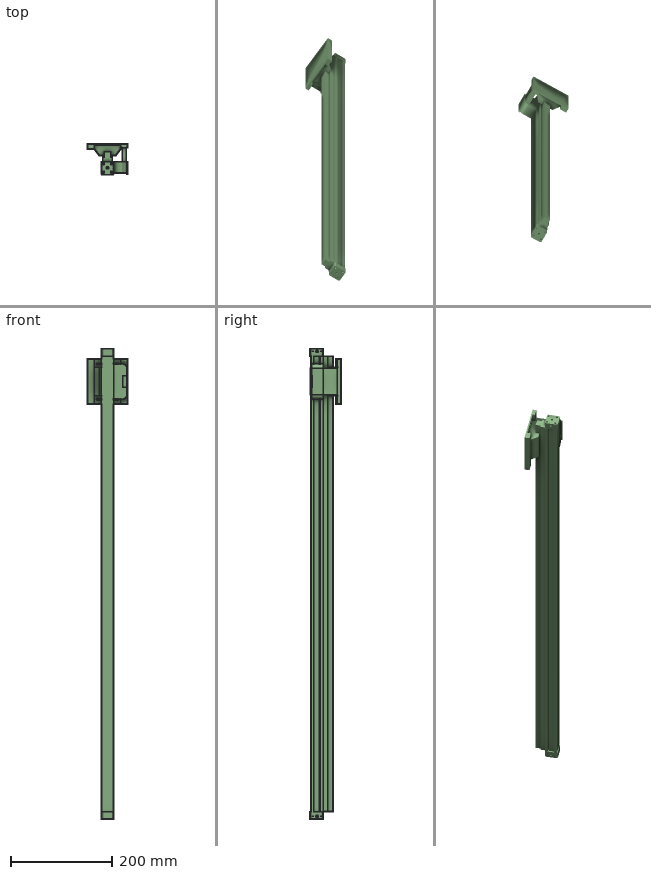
import cadquery as cq

total_length = 930.0
total_depth = 61.0
bar_width = 24.0
cap_height = 15.0
cap_lip = 2.0
cap_corner_radius = 3.0
shoulder_width = 19.5
shoulder_depth = 9.0
stem_width = 13.0
stem_back = 32.0
groove_width = 13.0
groove_depth = 3.0
slit_width = 2.4
slit_depth = 6.0
center_hole_diameter = 4.1
side_hole_diameter = 4.1
corner_hole_diameter = 4.1
corner_hole_offset = 8.0
end_hole_depth = 6.0
side_hole_depth = 3.0
side_hole_shift = 2.0

plate_width = 80.0
plate_height = 89.0
plate_center_z = 865.0
web_thickness = 3.0
strip_width = 14.0
left_strip_thickness = 10.0
right_strip_thickness = 7.0
block_height = 56.0
block_front = 24.0
block_front_width = 33.0
slot_length = 44.0
slot_height = 2.4
cover_right = 38.0
cover_height = 70.0
cover_depth = 22.0
cover_corner_radius = 8.0
lip_width = 2.0
lip_depth = 3.0
arm_width = 8.0
arm_right = 37.0
recess_width = 8.0
recess_height = 22.0
recess_depth = 1.0

bar_half = bar_width / 2
plate_back = total_depth - bar_half - cap_lip
web_width = plate_width - 2 * strip_width
strip_front = plate_back - left_strip_thickness
web_front = plate_back - web_thickness


def box(x_range, y_range, z_range):
    """Box spanning the given (low, high) ranges."""
    size = [high - low for low, high in (x_range, y_range, z_range)]
    return cq.Workplane("XY").box(*size, centered=False).translate((x_range[0], y_range[0], z_range[0]))


def around(center, size):
    """Range of the given size centred on a value."""
    return (center - size / 2, center + size / 2)


def make_bar():
    bar_z = (cap_height, total_length - cap_height)
    bar = box(around(0, bar_width), around(0, bar_width), bar_z)
    shoulder_back = bar_half + shoulder_depth
    bar = bar.union(box(around(0, shoulder_width), (0, shoulder_back), bar_z))
    bar = bar.union(box(around(0, stem_width), (0, stem_back), bar_z))
    groove_y = around(0, groove_width)
    slit_y = (groove_y[1] - slit_width, groove_y[1])
    for side in (-1, 1):
        groove_x = around(side * bar_half, 2 * groove_depth)
        slit_x = around(side * bar_half, 2 * slit_depth)
        bar = bar.cut(box(groove_x, groove_y, bar_z)).cut(box(slit_x, slit_y, bar_z))
    return bar


def make_cap(base_z, outward):
    """End cap from base_z upward; outward is +1 or -1, the Z direction of its outer face."""
    cap = box(around(0, bar_width), (-bar_half - cap_lip, bar_half), (base_z, base_z + cap_height))
    cap = cap.edges("|Z").fillet(cap_corner_radius)
    middle_z = base_z + cap_height / 2
    hole_z = around(middle_z + outward * cap_height / 2, 2 * end_hole_depth)
    end_plane = cq.Workplane("XY").workplane(offset=hole_z[0])
    cap = cap.cut(end_plane.circle(center_hole_diameter / 2).extrude(2 * end_hole_depth))
    corner_holes = end_plane.rect(2 * corner_hole_offset, 2 * corner_hole_offset, forConstruction=True)
    corner_holes = corner_holes.vertices().circle(corner_hole_diameter / 2).extrude(2 * end_hole_depth)
    cap = cap.cut(corner_holes)
    recess = cq.Workplane("YZ", origin=(bar_half, 0, middle_z + outward * side_hole_shift))
    recess = recess.circle(side_hole_diameter / 2).extrude(-side_hole_depth)
    for angle in (0, 90, 180):
        cap = cap.cut(recess.rotate((0, 0, 0), (0, 0, 1), angle))
    return cap


def make_rail():
    rail = make_bar()
    rail = rail.union(make_cap(0, -1))
    return rail.union(make_cap(total_length - cap_height, 1))


def make_plate():
    plate_z = around(plate_center_z, plate_height)
    plate_half = plate_width / 2
    plate = box(around(0, plate_width), (web_front, plate_back), plate_z)
    plate = plate.union(box((-plate_half, -web_width / 2), (strip_front, plate_back), plate_z))
    right_y = (plate_back - right_strip_thickness, plate_back)
    plate = plate.union(box((web_width / 2, plate_half), right_y, plate_z))
    for side in (-1, 1):
        slot_plane = cq.Workplane("XZ", origin=(0, plate_back, plate_center_z + side * cover_height / 2))
        plate = plate.cut(slot_plane.slot2D(slot_length, slot_height).extrude(web_thickness))
    return plate


def make_block():
    back_half = web_width / 2
    front_half = block_front_width / 2
    block = (
        cq.Workplane("XY", origin=(0, 0, plate_center_z - block_height / 2))
        .polyline([
            (-back_half, web_front),
            (-back_half, strip_front),
            (-front_half, block_front),
            (front_half, block_front),
            (back_half, strip_front),
            (back_half, web_front),
        ])
        .close()
        .extrude(block_height)
    )
    groove_z = around(plate_center_z, block_height)
    return block.cut(box(around(0, stem_width), (block_front, stem_back), groove_z))


def make_cover():
    cover_z = around(plate_center_z, cover_height)
    cover_front = bar_half - cover_depth
    cover = box((bar_half, cover_right), (cover_front, bar_half), cover_z)
    cover = cover.edges(">X and |Y").fillet(cover_corner_radius)
    straight_z = around(plate_center_z, cover_height - 2 * cover_corner_radius)
    lip_x = (plate_width / 2 - lip_width, plate_width / 2)
    cover = cover.union(box(lip_x, (cover_front - lip_depth, bar_half), straight_z))
    recess_x = (lip_x[0] - recess_width, lip_x[0])
    recess_z = around(plate_center_z, recess_height)
    cover = cover.cut(box(recess_x, (cover_front, cover_front + recess_depth), recess_z))
    arm = box((arm_right - arm_width, arm_right), (bar_half, plate_back - web_thickness), straight_z)
    return cover.union(arm)


def make_carriage():
    return make_plate().union(make_block()).union(make_cover())


rail = make_rail()
carriage = make_carriage()

result = cq.Compound.makeCompound([rail.val(), carriage.val()])